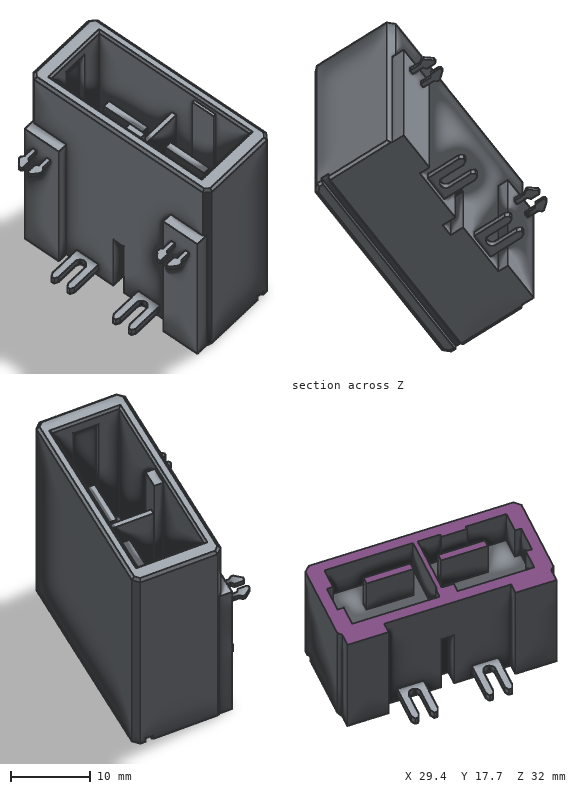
import cadquery as cq

BODY_WIDTH = 29.38
BODY_DEPTH = 12.4
BODY_HEIGHT = 32.0
CORNER_CHAMFER = 0.8
RIM_CHAMFER = 0.4
OVERALL_DEPTH = 17.7
FRONT_Y = -BODY_DEPTH

CAVITY_WIDTH = 24.65
BACK_WALL = 1.5
FRONT_WALL = 1.57
FLOOR_Z = 10.88
CAVITY_LEAD_IN = 0.32
CAVITY_BACK_Y = -BACK_WALL
CAVITY_FRONT_Y = FRONT_Y + FRONT_WALL

DIVIDER_WIDTH = 0.7
DIVIDER_TOP_Z = 25.47
BACK_RIB_LEFT = 3.33
BACK_RIB_WIDTH = 3.52
BACK_RIB_PROUD = 0.4
BACK_RIB_TOP_Z = 31.05
KEY_LEFT = -0.5
KEY_WIDTH = 2.5
KEY_PROUD = 1.28
KEY_TOP_Z = 30.95
LATCH_WIDTH = 3.6
LATCH_DEPTH = 0.83
LATCH_TOP_Z = 30.18

CONTACT_X = 5.05
BLADE_WIDTH = 6.4
BLADE_THICKNESS = 1.05
BLADE_BACK_Y = -4.4
BLADE_TOP_Z = 24.0
TAIL_WIDTH = 3.6
TAIL_BOTTOM_Z = 1.28
TAIL_THICKNESS = 1.1
TAIL_EMBED = 0.65
FORK_SLOT_WIDTH = 1.57
FORK_WEB = 0.75
TIP_NARROWING = 0.3
TIP_LENGTH = 0.55

PAD_CENTRE_X = 11.4
PAD_WIDTH = 5.63
PAD_HEIGHT = 22.7
PAD_PROUD = 1.47
PAD_EMBED = 0.65
PRONG_BOTTOM_Z = 19.17
PRONG_THICKNESS = 0.65

FRONT_SLOT_WIDTH = 1.73
FRONT_SLOT_HEIGHT = 9.47
FRONT_SLOT_DEPTH = 1.92
GROOVE_BACK_Y = -1.55
GROOVE_WIDTH = 1.05
GROOVE_HEIGHT = 1.05


def block(x, y, z):
    """Box spanning the (low, high) pairs x, y and z."""
    size = [high - low for low, high in (x, y, z)]
    return cq.Workplane("XY").box(*size, centered=False).translate((x[0], y[0], z[0]))


def centred(centre, width):
    return centre - width / 2, centre + width / 2


def housing():
    body = block(centred(0, BODY_WIDTH), (FRONT_Y, 0), (0, BODY_HEIGHT))
    body = body.edges("|Z").chamfer(CORNER_CHAMFER)
    body = body.faces(">Z").chamfer(RIM_CHAMFER)
    return body.faces("<Z").edges("not (>>Y[0] or >>Y[1])").chamfer(RIM_CHAMFER)


def cavity():
    pocket = block(centred(0, CAVITY_WIDTH), (CAVITY_FRONT_Y, CAVITY_BACK_Y), (FLOOR_Z, BODY_HEIGHT))
    lead_in = (
        pocket.faces(">Z").wires().toPending().workplane()
        .offset2D(CAVITY_LEAD_IN, "intersection")
        .extrude(-CAVITY_LEAD_IN, taper=45, combine=False)
    )
    latch = block(
        centred(0, CAVITY_WIDTH + 2 * LATCH_DEPTH),
        centred(FRONT_Y / 2, LATCH_WIDTH),
        (FLOOR_Z, LATCH_TOP_Z),
    )
    return pocket.union(lead_in).union(latch)


def cavity_ribs():
    divider = block(centred(0, DIVIDER_WIDTH), (CAVITY_FRONT_Y, CAVITY_BACK_Y), (FLOOR_Z, DIVIDER_TOP_Z))
    back_rib = block(
        (BACK_RIB_LEFT, BACK_RIB_LEFT + BACK_RIB_WIDTH),
        (CAVITY_BACK_Y - BACK_RIB_PROUD, CAVITY_BACK_Y),
        (FLOOR_Z, BACK_RIB_TOP_Z),
    )
    key = block(
        (KEY_LEFT, KEY_LEFT + KEY_WIDTH),
        (CAVITY_FRONT_Y, CAVITY_FRONT_Y + KEY_PROUD),
        (FLOOR_Z, KEY_TOP_Z),
    )
    return divider.union(back_rib).union(key)


def tip_bevel(edge_x, side):
    """Wedge that narrows a fork tine at its tip; side is +1 on its right flank, -1 on its left."""
    corners = [
        (edge_x, -OVERALL_DEPTH),
        (edge_x - side * TIP_NARROWING, -OVERALL_DEPTH),
        (edge_x, -OVERALL_DEPTH + TIP_LENGTH),
    ]
    base = cq.Workplane("XY", origin=(0, 0, TAIL_BOTTOM_Z))
    return base.polyline(corners).close().extrude(TAIL_THICKNESS)


def contact(x):
    blade = block(
        centred(x, BLADE_WIDTH), (BLADE_BACK_Y - BLADE_THICKNESS, BLADE_BACK_Y), (FLOOR_Z, BLADE_TOP_Z)
    )
    tail_z = (TAIL_BOTTOM_Z, TAIL_BOTTOM_Z + TAIL_THICKNESS)
    tail = block(centred(x, TAIL_WIDTH), (-OVERALL_DEPTH, FRONT_Y + TAIL_EMBED), tail_z)
    arc_y = FRONT_Y - FORK_WEB - FORK_SLOT_WIDTH / 2
    slot = block(centred(x, FORK_SLOT_WIDTH), (-OVERALL_DEPTH, arc_y), tail_z)
    slot_end = (
        cq.Workplane("XY", origin=(x, arc_y, TAIL_BOTTOM_Z))
        .circle(FORK_SLOT_WIDTH / 2)
        .extrude(TAIL_THICKNESS)
    )
    tail = tail.cut(slot).cut(slot_end)
    tine_width = (TAIL_WIDTH - FORK_SLOT_WIDTH) / 2
    tine_offset = (FORK_SLOT_WIDTH + tine_width) / 2
    for tine_x in (x - tine_offset, x + tine_offset):
        for side in (-1, 1):
            tail = tail.cut(tip_bevel(tine_x + side * tine_width / 2, side))
    return blade.union(tail)


def prong(pad_x, side):
    """Barbed board-lock prong; side -1 or +1 is the way its barb points."""
    outline = [
        (0.85, 0), (1.47, 0), (1.47, 1.6), (1.8, 2.0), (1.8, 2.35), (0.95, 3.33),
        (0.58, 3.33), (0.45, 3.15), (0.45, 1.9), (0.85, 1.6),
    ]
    pad_front = FRONT_Y - PAD_PROUD
    points = [(pad_x + side * across, pad_front - out) for across, out in outline]
    base = cq.Workplane("XY", origin=(0, 0, PRONG_BOTTOM_Z))
    return base.polyline(points).close().extrude(PRONG_THICKNESS)


def mounting_pad(x):
    pad = block(centred(x, PAD_WIDTH), (FRONT_Y - PAD_PROUD, FRONT_Y + PAD_EMBED), (0, PAD_HEIGHT))
    return pad.union(prong(x, -1)).union(prong(x, 1))


def bottom_cuts():
    front_slot = block(
        centred(0, FRONT_SLOT_WIDTH), (FRONT_Y, FRONT_Y + FRONT_SLOT_DEPTH), (0, FRONT_SLOT_HEIGHT)
    )
    groove = block(
        centred(0, BODY_WIDTH), (GROOVE_BACK_Y - GROOVE_WIDTH, GROOVE_BACK_Y), (0, GROOVE_HEIGHT)
    )
    return front_slot.union(groove)


result = housing().cut(cavity()).union(cavity_ribs())
for side in (-1, 1):
    result = result.union(mounting_pad(side * PAD_CENTRE_X))
    result = result.union(contact(side * CONTACT_X))
result = result.cut(bottom_cuts())